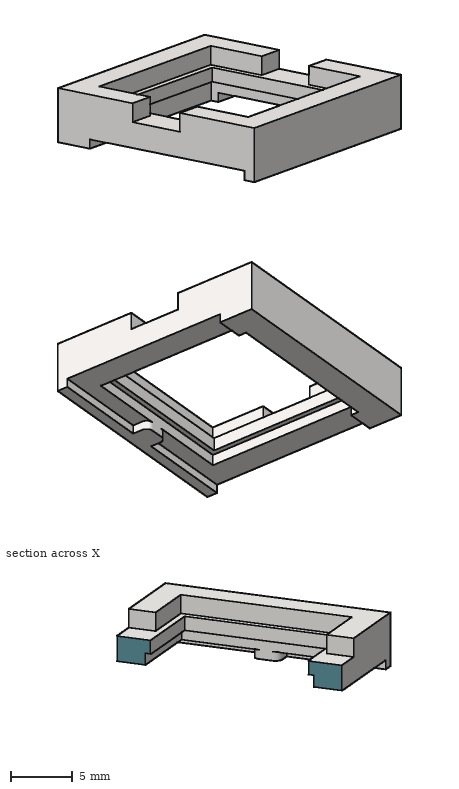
import cadquery as cq

side = 20.0
height = 4.6

recess_side = 15.2
lip_side = 14.0
pocket_side = 14.96
ledge_z = 3.0
lip_bottom_z = 1.8

notch_width = 4.8

channel_depth = 0.8
left_foot_width = 3.25
right_wall_thickness = 1.0
channel_start_x = -side / 2 + left_foot_width
channel_end_x = side / 2 - right_wall_thickness

key_width = 2.4
key_radius = 0.6


def square_prism(width, bottom_z, top_z):
    """Square prism on the frame's axis."""
    return cq.Workplane("XY").workplane(offset=bottom_z).rect(width, width).extrude(top_z - bottom_z)


def box_between(x_start, x_end, depth_y, bottom_z, top_z):
    """Box spanning the given X and Z ranges, centred on Y."""
    return (
        cq.Workplane("XY")
        .box(x_end - x_start, depth_y, top_z - bottom_z, centered=(False, True, False))
        .translate((x_start, 0, bottom_z))
    )


def stepped_frame():
    """Frame with the recess above the lip and the pocket below it."""
    frame = square_prism(side, 0, height)
    frame = frame.cut(square_prism(recess_side, ledge_z, height))
    frame = frame.cut(square_prism(lip_side, 0, height))
    return frame.cut(square_prism(pocket_side, 0, lip_bottom_z))


def rail_notches():
    """Notch through both the front and back rails."""
    return box_between(-notch_width / 2, notch_width / 2, side, ledge_z, height)


def bottom_channel():
    """Channel open at both Y ends."""
    return box_between(channel_start_x, channel_end_x, side, 0, channel_depth)


def key():
    """Key flush with the pocket wall, its two free corners rounded."""
    body = box_between(pocket_side / 2, channel_end_x, key_width, 0, channel_depth)
    return body.edges("|Z and <X").fillet(key_radius)


result = stepped_frame().cut(rail_notches()).cut(bottom_channel()).union(key())